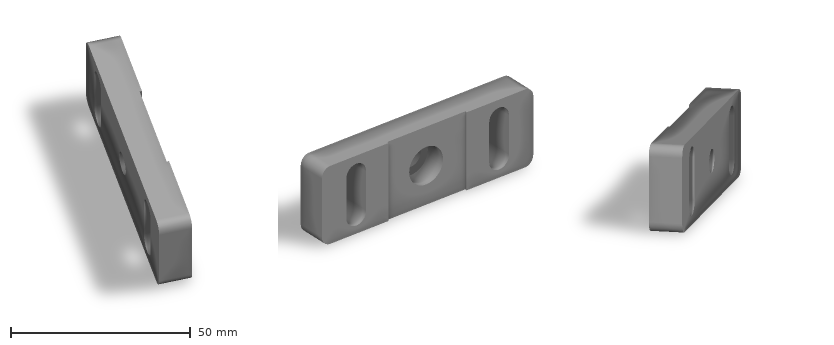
import cadquery as cq

length = 75.0
thickness = 9.5
height = 25.0
corner_radius = 3.0

slot_width = 7.0
slot_height = 19.8
slot_spacing = 50.7

hole_diameter = 6.75
counterbore_diameter = 12.0
hole_land = 2.0

relief_width = 27.75
relief_depth = 0.7


def make_plate():
    """Rounded plate centred on the origin."""
    plate = cq.Workplane("XY").box(length, thickness, height)
    return plate.edges("|Y").fillet(corner_radius)


def make_slots():
    """Cutters for the pair of vertical through slots."""
    return (
        cq.Workplane("XZ")
        .rarray(slot_spacing, 0.75, 2, 1)
        .slot2D(slot_height, slot_width, angle=90)
        .extrude(thickness, both=True)
    )


def make_hole():
    """Cutter for the central through hole and its counterbore."""
    hole = cq.Workplane("XZ").circle(hole_diameter / 2).extrude(thickness, both=True)
    counterbore_floor = -thickness / 2 + hole_land
    counterbore = (
        cq.Workplane("XZ", origin=(0, counterbore_floor, 0))
        .circle(counterbore_diameter / 2)
        .extrude(-thickness)
    )
    return hole.union(counterbore)


def make_relief():
    """Cutter for the full-height relief in the back face."""
    relief = cq.Workplane("XY").box(relief_width, 2 * relief_depth, height)
    return relief.translate((0, thickness / 2, 0))


result = make_plate().cut(make_slots()).cut(make_hole()).cut(make_relief())